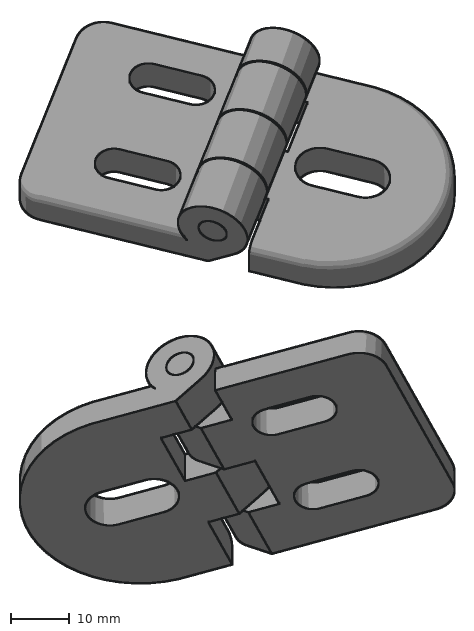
import cadquery as cq
import math

LENGTH = 71.7
WIDTH = 41.0
HEIGHT = 14.8
THICKNESS = 6.3
EDGE_FILLET = 2.0
CORNER_RADIUS = 5.0
ROUND_END_DEPTH = 19.6

KNUCKLE_RADIUS = 6.25
PIN_RADIUS = 2.5
CLEARANCE = 0.2
KNUCKLE_COUNT = 4
KNUCKLE_PITCH = 11.1
FOOT_SETBACK = 0.8

SLOT_OFFSET = 16.8
SQUARE_SLOT_LENGTH = 15.0
SQUARE_SLOT_WIDTH = 6.5
SQUARE_SLOT_SPACING = 19.6
ROUND_SLOT_LENGTH = 16.55
ROUND_SLOT_WIDTH = 8.45

half_length = LENGTH / 2
half_width = WIDTH / 2
axis_z = HEIGHT - KNUCKLE_RADIUS

rim_drop = axis_z - (THICKNESS - EDGE_FILLET)
root_x = math.sqrt(KNUCKLE_RADIUS**2 - rim_drop**2)

gap_centres = [-half_width + KNUCKLE_PITCH * i for i in range(1, KNUCKLE_COUNT)]
span_starts = [-half_width] + [y + CLEARANCE / 2 for y in gap_centres]
span_ends = [y - CLEARANCE / 2 for y in gap_centres] + [half_width]
spans = list(zip(span_starts, span_ends))
square_leaf_spans = spans[0::2]
round_leaf_spans = spans[1::2]


def along_y(profile, start, end):
    """Extrude an XZ profile from Y = start to Y = end."""
    return profile.extrude(start - end).translate((0, start, 0))


def knuckle(side, start, end):
    """Barrel with a tangent foot down to the leaf; side is -1 or +1 in X."""
    barrel = along_y(cq.Workplane("XZ").center(0, axis_z).circle(KNUCKLE_RADIUS), start, end)
    half_tangent_angle = math.asin(KNUCKLE_RADIUS / math.hypot(FOOT_SETBACK, axis_z))
    underside_angle = math.atan2(axis_z, FOOT_SETBACK) - half_tangent_angle
    tangent_x = KNUCKLE_RADIUS * math.sin(underside_angle)
    tangent_z = axis_z - KNUCKLE_RADIUS * math.cos(underside_angle)
    foot_profile = cq.Workplane("XZ").polyline([
        (side * root_x, 0),
        (side * FOOT_SETBACK, 0),
        (-side * tangent_x, tangent_z),
        (0, axis_z),
        (side * root_x, THICKNESS - EDGE_FILLET),
    ]).close()
    return barrel.union(along_y(foot_profile, start, end))


def knuckle_clearance(start, end):
    """Block that frees the space around a knuckle of the opposite leaf."""
    size = 2 * (KNUCKLE_RADIUS + CLEARANCE)
    profile = cq.Workplane("XZ").center(0, HEIGHT / 2).rect(size, 2 * HEIGHT)
    return along_y(profile, start - CLEARANCE, end + CLEARANCE)


def square_plate():
    """Rectangular plate with two rounded free corners and a rounded rim."""
    plate = cq.Workplane("XY").box(half_length - root_x, WIDTH, THICKNESS, centered=(False, True, False))
    plate = plate.translate((-half_length, 0, 0))
    plate = plate.edges("|Z and <X").fillet(CORNER_RADIUS)
    return plate.faces(">Z").edges("not >X").fillet(EDGE_FILLET)


def round_plate():
    """Plate with a curved free end and a rounded rim."""
    arc_start_x = half_length - ROUND_END_DEPTH
    plate = (
        cq.Workplane("XY")
        .moveTo(root_x, -half_width)
        .lineTo(arc_start_x, -half_width)
        .threePointArc((half_length, 0), (arc_start_x, half_width))
        .lineTo(root_x, half_width)
        .close()
        .extrude(THICKNESS)
    )
    return plate.faces(">Z").edges("not <X").fillet(EDGE_FILLET)


def slots(centres, length, width):
    """Mounting slots through a leaf, long along X."""
    return cq.Workplane("XY").pushPoints(centres).slot2D(length, width).extrude(THICKNESS)


def hinge_pin():
    return along_y(cq.Workplane("XZ").center(0, axis_z).circle(PIN_RADIUS), -half_width, half_width)


def leaf(plate, side, own_spans, opposite_spans, mounting_slots):
    """Plate with its knuckles, relieved for the other leaf and bored for the pin."""
    body = plate
    for start, end in own_spans:
        body = body.union(knuckle(side, start, end))
    for start, end in opposite_spans:
        body = body.cut(knuckle_clearance(start, end))
    return body.cut(mounting_slots).cut(hinge_pin())


square_slots = slots(
    [(-SLOT_OFFSET, y * SQUARE_SLOT_SPACING / 2) for y in (-1, 1)],
    SQUARE_SLOT_LENGTH,
    SQUARE_SLOT_WIDTH,
)
round_slot = slots([(SLOT_OFFSET, 0)], ROUND_SLOT_LENGTH, ROUND_SLOT_WIDTH)

square_leaf = leaf(square_plate(), -1, square_leaf_spans, round_leaf_spans, square_slots)
round_leaf = leaf(round_plate(), 1, round_leaf_spans, square_leaf_spans, round_slot)
pin = hinge_pin()

result = cq.Compound.makeCompound([square_leaf.val(), round_leaf.val(), pin.val()])